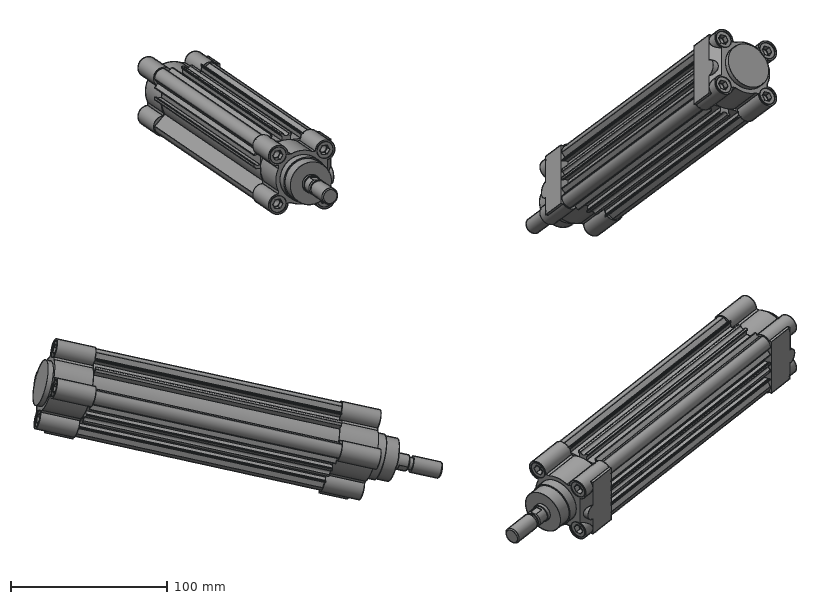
import cadquery as cq
import math

total_length = 271.0
rear_boss_length = 3.5
cap_length = 26.3
barrel_length = 167.0
rear_cap_start = rear_boss_length
barrel_start = rear_cap_start + cap_length
barrel_end = barrel_start + barrel_length
front_cap_end = barrel_end + cap_length
mid_plane = (rear_cap_start + front_cap_end) / 2

column_pitch = 32.5
column_offset = column_pitch / 2
column_radius = 6.8
cap_core_radius = 18.0
boss_diameter = 30.0
bolt_recess_diameter = 11.0
bolt_recess_depth = 0.5
socket_across_flats = 6.0
socket_depth = 4.0
socket_cone_diameter = 5.5
socket_cone_depth = 2.0

pad_face = column_offset + column_radius
pad_half_height = 21.0
ramp_foot = 18.0
ramp_half_height = column_offset
ramp_length = 7.0
port_boss_diameter = 11.5
port_boss_from_cap_end = 7.5
port_boss_drop = 3.0

collar_length = 6.5
collar_diameter = boss_diameter
nose_length = 9.0
nose_diameter = 28.5
nose_end = front_cap_end + collar_length + nose_length

barrel_column_radius = 6.0
barrel_face = column_offset + barrel_column_radius
slot_floor = 17.5
slot_inner = 3.0
slot_outer = 10.3
lip_inner = 3.8
lip_outer = 9.8
lip_tip_thickness = 0.8
lip_root_thickness = 2.0
rib_gutter_half_width = 2.0
rib_gutter_depth = 1.5
corner_notch_depth = 2.2
corner_notch_start = 15.7
corner_notch_root = 12.7
corner_notch_end = 10.3
recess_radius = 17.3
recess_edge = 8.5
half_rib_underside = 0.8

shoulder_length = 2.5
shoulder_diameter = 12.0
wrench_length = 8.0
rod_diameter = 10.8
groove_length = 2.5
groove_diameter = 8.0
flats_across = 10.0
flats_setback = 1.5
wrench_chamfer = 0.8
tip_chamfer = 0.8

CORNERS = [(y, z) for y in (-column_offset, column_offset) for z in (-column_offset, column_offset)]


def cylinder_x(x_start, length, diameter, y=0.0, z=0.0):
    """Cylinder along +X, starting at x_start."""
    return cq.Workplane("YZ", origin=(x_start, y, z)).circle(diameter / 2).extrude(length)


def block(x_start, length, y_size, z_size):
    """Block centred on the X axis, starting at x_start."""
    return cq.Workplane("YZ", origin=(x_start, 0, 0)).rect(y_size, z_size).extrude(length)


def port_pad():
    """Flat port face on the +Y side, with a ramp between the columns rising from the outer end of the cap."""
    ramp_end = rear_cap_start + ramp_length
    pad = (
        cq.Workplane("XY", origin=(0, 0, -pad_half_height))
        .moveTo(ramp_end, column_offset)
        .lineTo(ramp_end, pad_face)
        .lineTo(barrel_start, pad_face)
        .lineTo(barrel_start, column_offset)
        .close()
        .extrude(2 * pad_half_height)
    )
    ramp = (
        cq.Workplane("XY", origin=(0, 0, -ramp_half_height))
        .moveTo(rear_cap_start, column_offset)
        .lineTo(rear_cap_start, ramp_foot)
        .lineTo(ramp_end, pad_face)
        .lineTo(ramp_end, column_offset)
        .close()
        .extrude(2 * ramp_half_height)
    )
    return pad.union(ramp)


def port_boss():
    """Round boss standing on the ramp, level with the port face."""
    boss_x = rear_cap_start + port_boss_from_cap_end
    return (
        cq.Workplane("XZ", origin=(boss_x, pad_face, -port_boss_drop))
        .circle(port_boss_diameter / 2)
        .extrude(pad_face - column_offset)
    )


def bolt_socket(y, z):
    """Shallow round recess with a hexagon socket that ends in a drill cone."""
    socket_start = rear_cap_start + bolt_recess_depth
    socket_end = socket_start + socket_depth
    hexagon = (
        cq.Workplane("YZ", origin=(socket_start, y, z))
        .polygon(6, socket_across_flats / math.cos(math.pi / 6))
        .extrude(socket_depth)
    )
    cone = cq.Workplane(cq.Solid.makeCone(
        socket_cone_diameter / 2, 0, socket_cone_depth, cq.Vector(socket_end, y, z), cq.Vector(1, 0, 0)
    ))
    recess = cylinder_x(rear_cap_start, bolt_recess_depth, bolt_recess_diameter, y, z)
    return recess.union(hexagon).union(cone)


def cap_body():
    """Cap at the rear position: round core, square web, corner columns, port pad and bolt sockets."""
    cap = cylinder_x(rear_cap_start, cap_length, 2 * cap_core_radius)
    cap = cap.union(block(rear_cap_start, cap_length, column_pitch, column_pitch))
    cap = cap.union(port_pad()).union(port_boss())
    for y, z in CORNERS:
        cap = cap.union(cylinder_x(rear_cap_start, cap_length, 2 * column_radius, y, z))
    for y, z in CORNERS:
        cap = cap.cut(bolt_socket(y, z))
    return cap


def rear_cap():
    """Rear cap with its closed centring boss."""
    return cap_body().union(cylinder_x(0, rear_boss_length, boss_diameter))


def front_cap():
    """Front cap, the mirror image of the rear one, with a stepped bearing nose."""
    cap = cap_body().mirror("YZ", (mid_plane, 0, 0))
    cap = cap.union(cylinder_x(front_cap_end, collar_length, collar_diameter))
    return cap.union(cylinder_x(front_cap_end + collar_length, nose_length, nose_diameter))


def side_cutter(points, turn):
    """Prism along the barrel from (across, outward) points on the +Z side, turned about X."""
    prism = cq.Workplane("YZ", origin=(barrel_start, 0, 0)).polyline(points).close().extrude(barrel_length)
    return prism.rotate((0, 0, 0), (1, 0, 0), turn)


def mirrored_points(points):
    """Outline mirrored to the other half of the same side."""
    return [(-across, outward) for across, outward in points]


SLOT = [
    (slot_inner, slot_floor),
    (slot_outer, slot_floor),
    (slot_outer, barrel_face - lip_root_thickness),
    (lip_outer, barrel_face - lip_tip_thickness),
    (lip_outer, barrel_face),
    (lip_inner, barrel_face),
    (lip_inner, barrel_face - lip_tip_thickness),
    (slot_inner, barrel_face - lip_root_thickness),
]
CORNER_NOTCH = [
    (corner_notch_start, barrel_face),
    (corner_notch_root, barrel_face - corner_notch_depth),
    (corner_notch_end, barrel_face),
]


def rib_gutter(turn):
    """Round gutter along the tip of the middle rib, turned about X."""
    gutter = (
        cq.Workplane("YZ", origin=(barrel_start, 0, 0))
        .moveTo(-rib_gutter_half_width, barrel_face)
        .threePointArc((0, barrel_face - rib_gutter_depth), (rib_gutter_half_width, barrel_face))
        .close()
        .extrude(barrel_length)
    )
    return gutter.rotate((0, 0, 0), (1, 0, 0), turn)


def barrel_blank():
    """Square bar with rounded corners, following the corner columns."""
    outer_size = 2 * barrel_face
    return block(barrel_start, barrel_length, outer_size, outer_size).edges("|X").fillet(barrel_column_radius)


def barrel():
    """Extrusion with two slots, a middle rib and two corner notches on each side."""
    body = barrel_blank()
    for turn in (0, 90, 180, 270):
        body = body.cut(rib_gutter(turn))
        for points in (SLOT, CORNER_NOTCH):
            body = body.cut(side_cutter(points, turn))
            body = body.cut(side_cutter(mirrored_points(points), turn))
    return body.cut(open_recess())


def open_recess():
    """Open lower half of the -Y side, with an arched floor and a sloping flank."""
    upper_y = -math.sqrt(recess_radius**2 - half_rib_underside**2)
    lower_y = -math.sqrt(recess_radius**2 - recess_edge**2)
    middle_z = (half_rib_underside - recess_edge) / 2
    middle_y = -math.sqrt(recess_radius**2 - middle_z**2)
    return (
        cq.Workplane("YZ", origin=(barrel_start, 0, 0))
        .moveTo(-barrel_face, half_rib_underside)
        .lineTo(upper_y, half_rib_underside)
        .threePointArc((middle_y, middle_z), (lower_y, -recess_edge))
        .lineTo(-barrel_face, -corner_notch_start)
        .close()
        .extrude(barrel_length)
    )


def piston_rod():
    """Rod end: shoulder, wrench flats on the upper and lower sides, groove and chamfered thread."""
    shoulder_end = nose_end + shoulder_length
    groove_start = shoulder_end + wrench_length
    thread_start = groove_start + groove_length
    rod = cylinder_x(nose_end, shoulder_length, shoulder_diameter)
    wrench = cylinder_x(shoulder_end, wrench_length, rod_diameter).faces(">X").chamfer(wrench_chamfer)
    flats_start = shoulder_end + flats_setback
    flats_length = wrench_length - flats_setback
    around_flats = block(flats_start, flats_length, rod_diameter, rod_diameter)
    between_flats = block(flats_start, flats_length, rod_diameter, flats_across)
    wrench = wrench.cut(around_flats.cut(between_flats))
    rod = rod.union(wrench)
    rod = rod.union(cylinder_x(groove_start, groove_length, groove_diameter))
    thread = cylinder_x(thread_start, total_length - thread_start, rod_diameter)
    return rod.union(thread.faces(">X").chamfer(tip_chamfer))


result = cq.Compound.makeCompound(
    [rear_cap().val(), barrel().val(), front_cap().val(), piston_rod().val()]
)